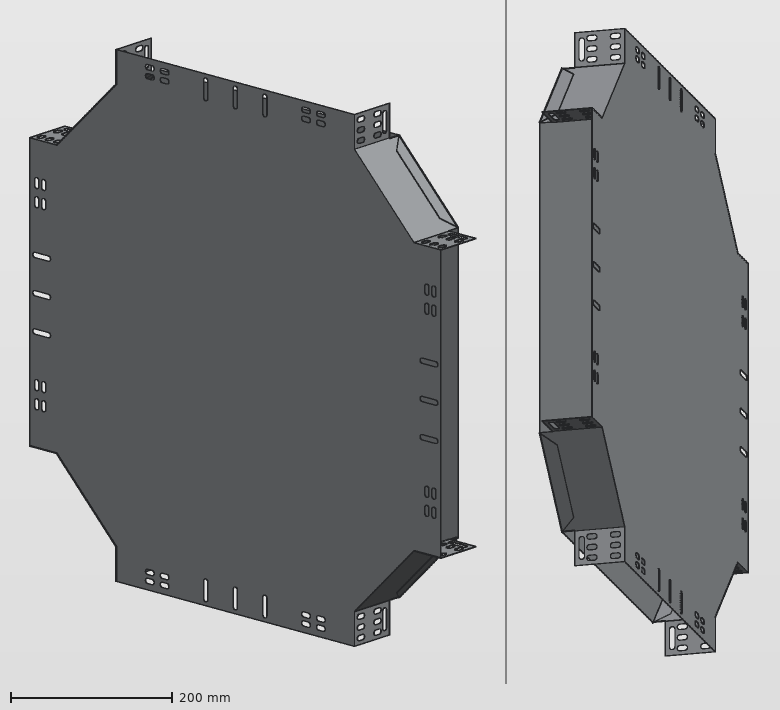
import cadquery as cq
import math


overall_size = 691.0
depth = 81.5
sheet = 1.0
body_half = 301.0
mouth_clear_half = 200.0
ear_height = 65.0
lip_height = 19.5
slot_width = 7.0

ear_column_offsets = (-14.0, 0.0, 14.0)
ear_short_length = 13.0
ear_row_heights = (12.5, 43.0)
long_slot_length = 30.0
ear_long_height = 56.0

mid_slot_pitch = 50.0
mid_slot_inset = 20.0
pair_centre = 131.5
pair_pitch = 25.0
pair_length = 14.5
pair_insets = (12.0, 23.5)

mouth_half = mouth_clear_half + sheet
overall_half = overall_size / 2
ear_centre = (body_half + overall_half) / 2
wall_height = depth - sheet
wall_end_width = sheet * math.sqrt(2)
bend_run = wall_end_width - sheet
corner_side = (body_half - mouth_half) * math.sqrt(2)
corner_distance = (body_half + mouth_half) / math.sqrt(2)
quarter_turns = (0, 90, 180, 270)


def turned(shape, angle):
    """Turn a shape about the tray's central Y axis."""
    return shape.rotate((0, 0, 0), (0, 1, 0), angle)


def sheet_outline(corners):
    """Extrude an outline in the XZ plane by one sheet thickness toward +Y."""
    return cq.Workplane("XZ").polyline(corners).close().extrude(-sheet)


def octagon_corners():
    """Corners of the octagon around the tray body."""
    signs = ((1, 1), (-1, 1), (-1, -1), (1, -1))
    corners = []
    for sign_x, sign_z in signs:
        side = (sign_x * body_half, sign_z * mouth_half)
        end = (sign_x * mouth_half, sign_z * body_half)
        corners += [side, end] if sign_x == sign_z else [end, side]
    return corners


def mouth_tab():
    """Base tongue that carries the ears at the +Z mouth, starting at the tray centre."""
    return sheet_outline([
        (-mouth_half, 0),
        (mouth_half, 0),
        (mouth_half, overall_half),
        (-mouth_half, overall_half),
    ])


def ear():
    """Slotted ear on the +X side of the +Z mouth, its inner end bevelled to follow the corner wall."""
    plate = (
        cq.Workplane("XZ")
        .polyline([
            (mouth_half, overall_half),
            (mouth_clear_half, overall_half),
            (mouth_clear_half, body_half - bend_run),
            (mouth_half, body_half - wall_end_width),
        ])
        .close()
        .extrude(-ear_height)
    )
    short_centres = [(height, ear_centre + offset)
                     for height in ear_row_heights for offset in ear_column_offsets]
    face = cq.Workplane("YZ", origin=(mouth_clear_half, 0, 0))
    short_slots = face.pushPoints(short_centres).slot2D(ear_short_length, slot_width).extrude(sheet)
    long_slot = face.center(ear_long_height, ear_centre)
    long_slot = long_slot.slot2D(long_slot_length, slot_width, 90).extrude(sheet)
    return plate.cut(short_slots).cut(long_slot)


def mouth_slots():
    """Cutters for the base slots at the +Z mouth."""
    base = cq.Workplane("XZ")
    mid_slot_centres = [(step * mid_slot_pitch, overall_half - mid_slot_inset) for step in (-1, 0, 1)]
    mid_slots = base.pushPoints(mid_slot_centres).slot2D(long_slot_length, slot_width, 90).extrude(-sheet)
    pair_centres = [
        (side * pair_centre + step * pair_pitch / 2, overall_half - inset)
        for side in (-1, 1)
        for step in (-1, 1)
        for inset in pair_insets
    ]
    pairs = base.pushPoints(pair_centres).slot2D(pair_length, slot_width).extrude(-sheet)
    return mid_slots.union(pairs)


def corner_wall():
    """Wall across the +X +Z corner, flush with the base edge, with its ends against the ears."""
    return (
        cq.Workplane("XZ")
        .polyline([
            (body_half, mouth_half),
            (mouth_half, body_half),
            (mouth_half, body_half - wall_end_width),
            (body_half - wall_end_width, mouth_half),
        ])
        .close()
        .extrude(-wall_height)
    )


def cover_lip():
    """Trapezoid lip lying against the outside of the +X +Z corner wall."""
    lip = (
        cq.Workplane("XY", origin=(0, 0, corner_distance))
        .polyline([
            (-corner_side / 2, depth),
            (corner_side / 2, depth),
            (corner_side / 2 - lip_height, depth - lip_height),
            (lip_height - corner_side / 2, depth - lip_height),
        ])
        .close()
        .extrude(sheet)
    )
    return turned(lip, 45)


def make_tray():
    body = sheet_outline(octagon_corners())
    for angle in quarter_turns:
        body = body.union(turned(mouth_tab(), angle))
    for angle in quarter_turns:
        right_ear = ear()
        left_ear = right_ear.mirror("YZ")
        for part in (right_ear, left_ear, corner_wall()):
            body = body.union(turned(part, angle))
        body = body.cut(turned(mouth_slots(), angle))
    return body


def make_cover():
    body = sheet_outline(octagon_corners()).translate((0, wall_height, 0))
    for angle in quarter_turns:
        body = body.union(turned(cover_lip(), angle))
    return body


tray = make_tray()
cover = make_cover()
result = cq.Compound.makeCompound([tray.val(), cover.val()])